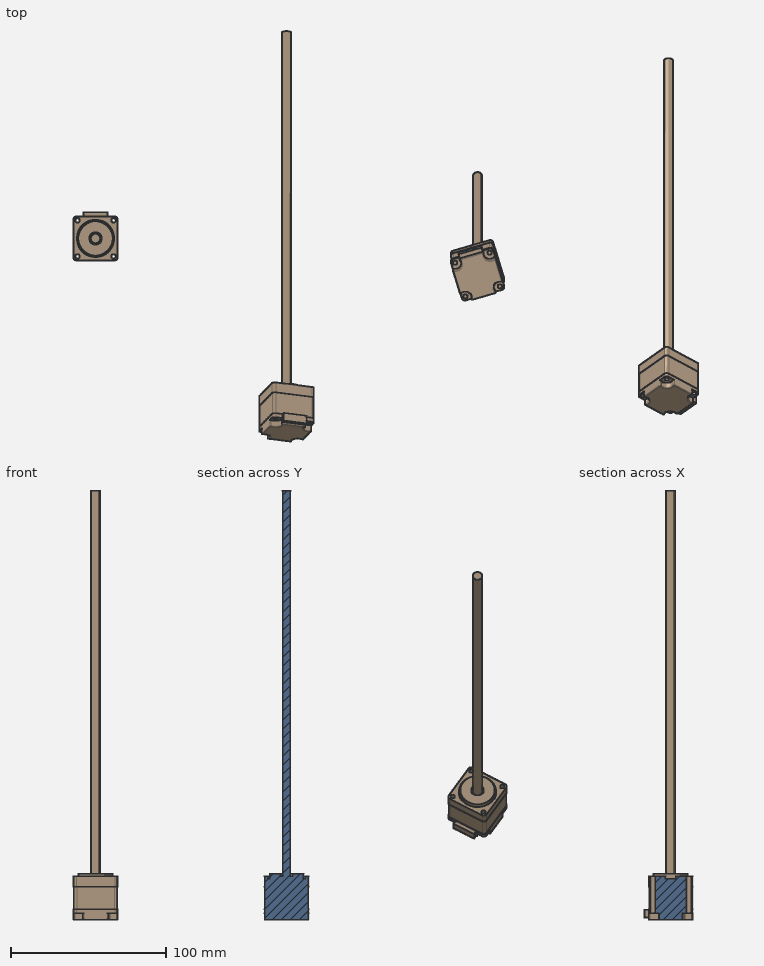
import cadquery as cq

total_height = 276.0
rear_cap_top = 7.0
flange_bottom = 21.3
flange_top = 28.2
boss_top = 29.8

flange_width = 28.5
flange_corner_radius = 2.0
stack_width = 28.2
stack_corner_radius = 2.0
rear_edge_radius = 0.5

boss_diameter = 22.0
groove_diameter = 24.0
groove_depth = 1.7
shaft_diameter = 6.0
shaft_bore_diameter = 8.0
shaft_bore_depth = boss_top - flange_top

screw_offset = 11.5
screw_hole_diameter = 2.8
screw_recess_diameter = 8.0
screw_recess_depth = 4.1
recess_lip_radius = 0.5

connector_width = 15.5
connector_projection = 2.8
connector_bottom = 1.5
connector_top = 6.5


def rounded_block(width, corner_radius, bottom, top):
    """Square block on the shaft axis with rounded vertical corners."""
    block = cq.Workplane("XY").workplane(offset=bottom).rect(width, width).extrude(top - bottom)
    return block.edges("|Z").fillet(corner_radius)


def cylinder(diameter, bottom, top):
    """Upright cylinder on the shaft axis."""
    return cq.Workplane("XY").workplane(offset=bottom).circle(diameter / 2).extrude(top - bottom)


def screw_cylinders(diameter, height):
    """Four upright cylinders on the screw axes, rising from the underside."""
    spacing = 2 * screw_offset
    corners = cq.Workplane("XY").rect(spacing, spacing, forConstruction=True).vertices()
    return corners.circle(diameter / 2).extrude(height)


def make_rear_cap():
    """Rear cap whose lower corners are cut away by screw recesses that open onto the side faces."""
    lower_slab = cq.Workplane("XY").rect(flange_width, flange_width).extrude(screw_recess_depth)
    lower_slab = lower_slab.cut(screw_cylinders(screw_recess_diameter, screw_recess_depth))
    lower_slab = lower_slab.edges("|Z").fillet(recess_lip_radius)
    lower_slab = lower_slab.faces("<Z").fillet(rear_edge_radius)
    upper_slab = rounded_block(flange_width, flange_corner_radius, screw_recess_depth, rear_cap_top)
    return lower_slab.union(upper_slab)


def make_flange():
    """Front flange with a pilot boss standing in a ring groove and a clearance bore for the shaft."""
    groove_floor = flange_top - groove_depth
    flange = rounded_block(flange_width, flange_corner_radius, flange_bottom, flange_top)
    flange = flange.cut(cylinder(groove_diameter, groove_floor, flange_top))
    flange = flange.union(cylinder(boss_diameter, groove_floor, boss_top))
    return flange.cut(cylinder(shaft_bore_diameter, boss_top - shaft_bore_depth, boss_top))


def make_connector():
    """Rectangular connector block on the +Y face of the rear cap."""
    height = connector_top - connector_bottom
    connector = cq.Workplane("XY").box(
        connector_width, connector_projection, height, centered=(True, False, False)
    )
    return connector.translate((0, flange_width / 2, connector_bottom))


stack = rounded_block(stack_width, stack_corner_radius, rear_cap_top, flange_bottom)
shaft = cylinder(shaft_diameter, flange_bottom, total_height)
screw_holes = screw_cylinders(screw_hole_diameter, flange_top)

housing = make_rear_cap().union(stack).union(make_flange())
result = housing.cut(screw_holes).union(make_connector()).union(shaft)